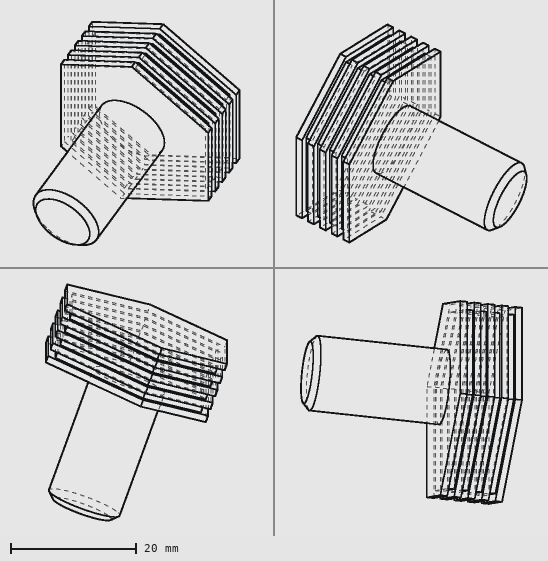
import cadquery as cq
import math

head_height = 34.65

left_face = 13.0
right_face = 14.0
upper_face = 13.5
lower_left_face = 17.5
lower_right_face = 2 * (head_height * math.cos(math.radians(30)) - upper_face) - lower_left_face

head_thickness = 10.0
rib_count = 5
rib_width = head_thickness / (2 * rib_count - 1)
groove_depth = 1.2

pin_diameter = 12.0
pin_length = 22.0
pin_chamfer = 1.05

head_faces = [
    (0, right_face),
    (60, upper_face),
    (120, upper_face),
    (180, left_face),
    (240, lower_left_face),
    (300, lower_right_face),
]


def corner(first_face, second_face, inset):
    """Intersection of two neighbouring faces, both moved inward by inset."""
    first_angle = math.radians(first_face[0])
    second_angle = math.radians(second_face[0])
    first_distance = first_face[1] - inset
    second_distance = second_face[1] - inset
    turn = math.sin(second_angle - first_angle)
    x = (first_distance * math.sin(second_angle) - second_distance * math.sin(first_angle)) / turn
    z = (second_distance * math.cos(first_angle) - first_distance * math.cos(second_angle)) / turn
    return x, z


def hex_plate(start, thickness, inset=0.0):
    """Hexagonal plate whose back is at Y = -start, extending toward -Y."""
    next_faces = head_faces[1:] + head_faces[:1]
    corners = [corner(face, neighbour, inset) for face, neighbour in zip(head_faces, next_faces)]
    return cq.Workplane("XZ", origin=(0, -start, 0)).polyline(corners).close().extrude(thickness)


def ribbed_head():
    head = hex_plate(0, head_thickness, groove_depth)
    for index in range(rib_count):
        head = head.union(hex_plate(2 * index * rib_width, rib_width))
    return head


def pin():
    return (
        cq.Workplane("XZ", origin=(0, -head_thickness, 0))
        .circle(pin_diameter / 2)
        .extrude(pin_length)
        .faces("<Y")
        .chamfer(pin_chamfer)
    )


result = ribbed_head().union(pin())